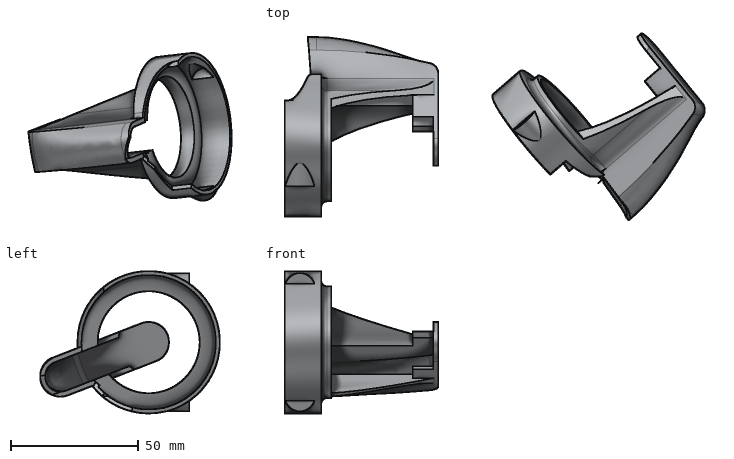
import cadquery as cq
import math

OVERALL_LENGTH = 60.36
ARM_REACH_Y = 42.66
ARM_ANGLE = 21.2
MARGIN = 10.0

RING_RADIUS = 28.0
RING_WALL = 1.6
RING_LENGTH = 14.46
FLANGE_THICKNESS = 2.0
BORE_RADIUS = 20.0
NECK_RADIUS = 22.0
NECK_END = 18.4
NECK_FILLET = 2.0
CAVITY_RADIUS = RING_RADIUS - RING_WALL
CAVITY_DEPTH = RING_LENGTH - FLANGE_THICKNESS

UPPER_NOTCH_Y = 17.7
UPPER_NOTCH_EDGE = [(1.2, 21.7), (4.2, 20.4), (5.8, 18.4), (7.2, 15.5), (8.8, 9.0), (10.0, 2.0), (10.5, -2.0)]
LOWER_NOTCH_Y = 6.5
LOWER_NOTCH_OUTER_X = 8.0
LOWER_NOTCH_INNER_X = 10.3
LOWER_RAMP_Z = -21.2
LOWER_RAMP_START_RADIUS = CAVITY_RADIUS - 1.0
NOTCH_SPLIT_Z = -8.0

BOSS_RADIUS = 6.0
BOSS_X = 6.0
BOSS_Z = 21.15
BOSS_FACE_Y = -16.0
BOSS_WALL = 1.25

ARM_HALF_WIDTH = 8.0
ARM_WALL = 2.0
ARM_ROUND_U = (ARM_REACH_Y - ARM_HALF_WIDTH) / math.cos(math.radians(ARM_ANGLE))
TAPER_START = 12.45
LEAN = 0.0028
CROWN_POWER = 1.6
TIP_CROWN = 0.1
TIP_FILLET = 4.5
CHANNEL_FILLET = TIP_FILLET - ARM_WALL
PLATE_FACE = OVERALL_LENGTH - ARM_WALL
TAPER_STATIONS = 6

RIM_UPPER_TIP = 9.0
RIM_UPPER_ROOT = 10.5
RIM_LOWER_TIP = 12.8
RIM_LOWER_ROOT = 13.7
RIM_ROOT_U = 23.0
RIM_RAMP_TOP_V = 3.1
RIM_RAMP_BOTTOM_V = -5.6

TAB_START = 50.3
TAB_CLEARANCE_RADIUS = 12.0

GUSSET_END = 58.6
GUSSET_HALF_HEIGHT = 18.0
GUSSET_FILLET = 7.8


def cylinder(radius, start, end):
    """Cylinder on the ring axis between two X positions."""
    return cq.Workplane("YZ", origin=(start, 0, 0)).circle(radius).extrude(end - start)


def turn_to_arm(body):
    """Turn a body built with u along Y and v along Z to the arm direction."""
    return body.rotate((0, 0, 0), (1, 0, 0), -ARM_ANGLE)


def upper_notch():
    """Opening above the arm, swept along Y, its edge curving back toward the arm."""
    return (
        cq.Workplane("XZ", origin=(0, UPPER_NOTCH_Y, 0))
        .moveTo(-MARGIN, RING_RADIUS)
        .lineTo(UPPER_NOTCH_EDGE[0][0], RING_RADIUS)
        .lineTo(*UPPER_NOTCH_EDGE[0])
        .spline(UPPER_NOTCH_EDGE[1:], includeCurrent=True)
        .lineTo(UPPER_NOTCH_EDGE[-1][0], NOTCH_SPLIT_Z)
        .lineTo(-MARGIN, NOTCH_SPLIT_Z)
        .close()
        .extrude(-RING_RADIUS)
    )


def lower_notch():
    """Opening below the arm: a sloping floor, then a steep ramp up to the arm."""
    floor = (
        cq.Workplane("XZ", origin=(0, LOWER_NOTCH_Y, 0))
        .polyline([
            (-MARGIN, -RING_RADIUS),
            (LOWER_NOTCH_OUTER_X, -RING_RADIUS),
            (LOWER_NOTCH_INNER_X, LOWER_RAMP_Z),
            (LOWER_NOTCH_INNER_X, NOTCH_SPLIT_Z),
            (-MARGIN, NOTCH_SPLIT_Z),
        ])
        .close()
        .extrude(-RING_RADIUS)
    )
    ramp_angle = math.degrees(math.asin(LOWER_RAMP_Z / RING_RADIUS))
    arm_side_angle = -ARM_ANGLE - math.degrees(math.asin(ARM_HALF_WIDTH / RING_RADIUS))
    span = math.radians(arm_side_angle - ramp_angle)
    ramp_width = RING_RADIUS * math.sin(span)
    ramp = (
        cq.Workplane("XZ", origin=(0, LOWER_RAMP_START_RADIUS, 0))
        .polyline([
            (-MARGIN, 0),
            (LOWER_NOTCH_INNER_X, 0),
            (RIM_LOWER_ROOT, ramp_width),
            (RIM_LOWER_ROOT, ramp_width + ARM_WALL),
            (-MARGIN, ramp_width + ARM_WALL),
        ])
        .close()
        .extrude(-MARGIN)
        .rotate((0, 0, 0), (1, 0, 0), ramp_angle)
    )
    return floor.union(ramp)


def boss_body(side, shrink):
    """Boss cylinder along Y; a positive shrink gives its hollow."""
    return (
        cq.Workplane("XZ", origin=(BOSS_X, BOSS_FACE_Y + shrink, side * BOSS_Z))
        .circle(BOSS_RADIUS - shrink)
        .extrude(BOSS_FACE_Y + shrink)
    )


def make_ring():
    """Ring with its two hollow side bosses and the flange at its back."""
    ring = cylinder(RING_RADIUS, 0, RING_LENGTH)
    for side in (1, -1):
        ring = ring.union(boss_body(side, 0))
    ring = ring.cut(cylinder(CAVITY_RADIUS, -MARGIN, CAVITY_DEPTH))
    for side in (1, -1):
        ring = ring.cut(boss_body(side, BOSS_WALL))
    return ring


def is_neck_arc(edge):
    """True for an arc on the outside of the neck tube."""
    return math.isclose(edge.radius(), NECK_RADIUS, abs_tol=0.01)


def make_neck():
    """Neck tube, carried on beside the arm as gussets that blend into it and slope down to it."""
    blend_v = ARM_HALF_WIDTH + GUSSET_FILLET
    blend_u = math.sqrt((NECK_RADIUS + GUSSET_FILLET) ** 2 - blend_v ** 2)
    length = GUSSET_END - CAVITY_DEPTH
    plane = cq.Workplane("YZ", origin=(CAVITY_DEPTH, 0, 0))
    body = plane.circle(NECK_RADIUS).extrude(length)
    web = plane.polyline([(0, 0), (blend_u, blend_v), (blend_u, -blend_v)]).close().extrude(length)
    body = body.union(web)
    for side in (1, -1):
        body = body.cut(plane.center(blend_u, side * blend_v).circle(GUSSET_FILLET).extrude(length))
    neck_zone = (
        cq.Workplane("XY", origin=(0, 0, -RING_RADIUS))
        .rect(2 * NECK_END, 4 * RING_RADIUS)
        .extrude(2 * RING_RADIUS)
    )
    wedge = (
        cq.Workplane("XZ")
        .polyline([
            (0, -GUSSET_HALF_HEIGHT),
            (NECK_END, -GUSSET_HALF_HEIGHT),
            (GUSSET_END, -ARM_HALF_WIDTH),
            (GUSSET_END, ARM_HALF_WIDTH),
            (NECK_END, GUSSET_HALF_HEIGHT),
            (0, GUSSET_HALF_HEIGHT),
        ])
        .close()
        .extrude(-RING_RADIUS)
    )
    neck = body.intersect(neck_zone.union(wedge)).cut(plane.circle(BORE_RADIUS).extrude(length))
    flange = plane.circle(RING_RADIUS).circle(BORE_RADIUS).extrude(FLANGE_THICKNESS)
    foot_edges = flange.union(neck).edges(cq.selectors.BoxSelector(
        (CAVITY_DEPTH, -CAVITY_RADIUS, -CAVITY_RADIUS),
        (NECK_END - NECK_FILLET, CAVITY_RADIUS, CAVITY_RADIUS),
        boundingbox=True,
    ))
    outer_edges = foot_edges.edges(">X").edges("%CIRCLE").filter(is_neck_arc)
    return turn_to_arm(outer_edges.fillet(NECK_FILLET))


def arm_section(x, wall):
    """Arm outline at X: round at the ring axis, straight sides, bulged outer end."""
    half_width = ARM_HALF_WIDTH - wall
    along = max(0.0, (x - TAPER_START) / (PLATE_FACE - TAPER_START))
    fullness = 1 - min(1.0, along) ** CROWN_POWER
    corner_u = ARM_ROUND_U - LEAN * max(0.0, x - TAPER_START) ** 2
    crown_u = corner_u + TIP_CROWN + (ARM_HALF_WIDTH - TIP_CROWN) * fullness - wall
    inner_crown = TIP_CROWN + (half_width - TIP_CROWN) * fullness
    return (
        cq.Workplane("YZ", origin=(x, 0, 0))
        .moveTo(0, half_width)
        .lineTo(crown_u - inner_crown, half_width)
        .threePointArc((crown_u, 0), (crown_u - inner_crown, -half_width))
        .lineTo(0, -half_width)
        .threePointArc((-half_width, 0), (0, half_width))
        .close()
    )


def arm_body(start, end, wall):
    """Straight and tapering lengths of the arm; a wall above zero gives its hollow."""
    straight = arm_section(start, wall).extrude(TAPER_START - start)
    step = (end - TAPER_START) / (TAPER_STATIONS - 1)
    wires = [arm_section(TAPER_START + i * step, wall).wires().val() for i in range(TAPER_STATIONS)]
    taper = cq.Workplane(cq.Solid.makeLoft(wires))
    return straight, taper


def rim_cut():
    """Body in front of the channel rim: a sloping plane, stepped back below the arm."""
    tip_u = ARM_ROUND_U + ARM_HALF_WIDTH
    reach_u = tip_u + MARGIN

    def slope_prism(tip_x, root_x, bottom_v, top_v):
        growth = (tip_x - root_x) / (tip_u - RIM_ROOT_U)
        return (
            cq.Workplane("XY", origin=(0, 0, bottom_v))
            .polyline([
                (-MARGIN, RIM_ROOT_U),
                (root_x, RIM_ROOT_U),
                (tip_x + growth * MARGIN, reach_u),
                (-MARGIN, reach_u),
            ])
            .close()
            .extrude(top_v - bottom_v)
        )

    cut_half_width = ARM_HALF_WIDTH + MARGIN
    upper = slope_prism(RIM_UPPER_TIP, RIM_UPPER_ROOT, -cut_half_width, cut_half_width)
    lower = slope_prism(RIM_LOWER_TIP, RIM_LOWER_ROOT, -cut_half_width, RIM_RAMP_BOTTOM_V)
    ramp = (
        cq.Workplane("XZ", origin=(0, RIM_ROOT_U, 0))
        .polyline([
            (-MARGIN, RIM_RAMP_TOP_V),
            (RIM_UPPER_TIP, RIM_RAMP_TOP_V),
            (RIM_LOWER_TIP, RIM_RAMP_BOTTOM_V),
            (-MARGIN, RIM_RAMP_BOTTOM_V),
        ])
        .close()
        .extrude(RIM_ROOT_U - reach_u)
    )
    return turn_to_arm(upper.union(lower).union(ramp))


def make_arm():
    """Solid arm before its channel is cut."""
    straight, taper = arm_body(0, OVERALL_LENGTH, 0)
    taper = taper.faces(">X").edges(">Y").fillet(TIP_FILLET)
    cavity = cylinder(CAVITY_RADIUS, 0, CAVITY_DEPTH)
    return turn_to_arm(straight.union(taper)).cut(cavity).cut(rim_cut())


def make_channel():
    """Hollow of the arm, closed at the far end by the plate."""
    straight, taper = arm_body(-MARGIN, PLATE_FACE, ARM_WALL)
    taper = taper.faces(">X").edges(">Y").fillet(CHANNEL_FILLET)
    return turn_to_arm(straight.union(taper))


result = (
    make_ring()
    .union(make_neck())
    .cut(upper_notch())
    .cut(lower_notch())
    .union(make_arm())
    .cut(cylinder(BORE_RADIUS, 0, TAB_START))
    .cut(cylinder(TAB_CLEARANCE_RADIUS, TAB_START, PLATE_FACE))
    .cut(make_channel())
)